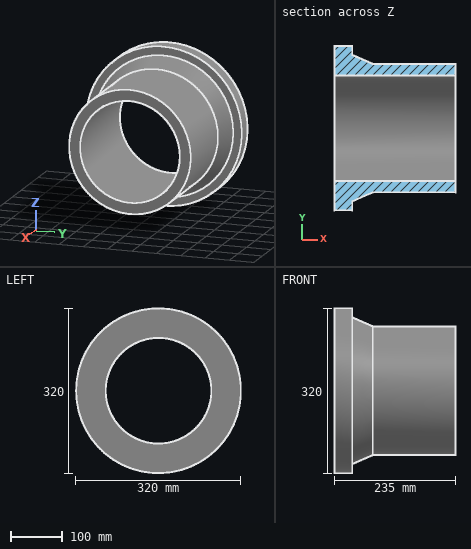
import cadquery as cq

total_length = 235.0
flange_diameter = 320.0
flange_thickness = 35.0
cone_start_diameter = 284.8
cone_length = 40.0
pipe_diameter = 250.0
bore_diameter = 204.5

cone_end = flange_thickness + cone_length
pipe_length = total_length - cone_end


def disc(diameter, start):
    """Circle normal to X, centred on the axis at the given X position."""
    return cq.Workplane("YZ", origin=(start, 0, 0)).circle(diameter / 2)


flange = disc(flange_diameter, 0).extrude(flange_thickness)

neck = (
    disc(cone_start_diameter, flange_thickness)
    .workplane(offset=cone_length)
    .circle(pipe_diameter / 2)
    .loft(ruled=True)
)

pipe = disc(pipe_diameter, cone_end).extrude(pipe_length)

bore = disc(bore_diameter, 0).extrude(total_length)

result = flange.union(neck).union(pipe).cut(bore)